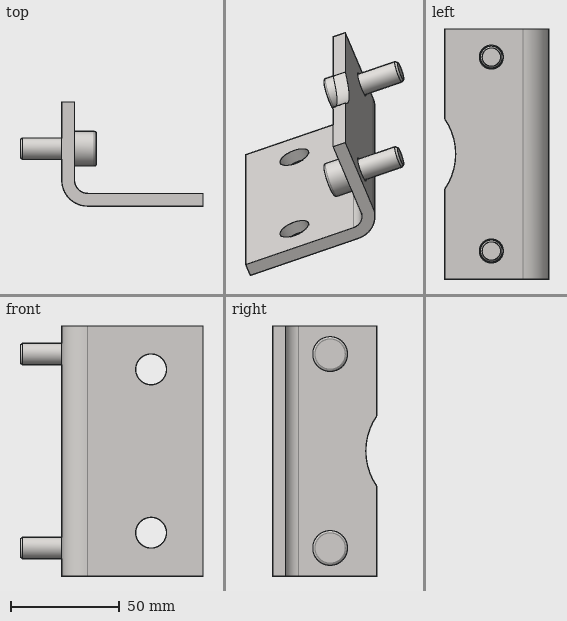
import cadquery as cq

height = 115.0
thickness = 6.0
wide_leg = 65.0
short_leg = 48.0
inner_bend_radius = 6.0
outer_bend_radius = inner_bend_radius + thickness

mount_hole_diameter = 14.0
mount_hole_x = 41.0
mount_hole_spacing = 75.0

notch_chord = 32.4
notch_depth = 5.1

bolt_diameter = 10.0
bolt_hole_diameter = 11.0
bolt_length = 25.0
bolt_y = 26.5
bolt_spacing = 89.0
head_diameter = 16.0
head_length = 10.0
head_edge_radius = 1.0
tip_chamfer_length = 1.0
tip_chamfer_depth = 0.8


def pair_heights(spacing):
    """Z positions of two features placed evenly about mid-height."""
    return [-spacing / 2, spacing / 2]


def x_cylinder(diameter, length, start_x, y, z):
    """Cylinder running along +X from start_x."""
    return (
        cq.Workplane("YZ", origin=(start_x, y, z))
        .circle(diameter / 2)
        .extrude(length)
    )


def make_bent_plate():
    """L-shaped plate with a rounded bend."""
    plate = (
        cq.Workplane("XY", origin=(0, 0, -height / 2))
        .polyline([
            (0, 0),
            (wide_leg, 0),
            (wide_leg, thickness),
            (thickness, thickness),
            (thickness, short_leg),
            (0, short_leg),
        ])
        .close()
        .extrude(height)
    )
    outer_corner = cq.selectors.NearestToPointSelector((0, 0, 0))
    inner_corner = cq.selectors.NearestToPointSelector((thickness, thickness, 0))
    plate = plate.edges("|Z").edges(outer_corner).fillet(outer_bend_radius)
    return plate.edges("|Z").edges(inner_corner).fillet(inner_bend_radius)


def make_bracket():
    """Bent plate with mounting holes, bolt holes and edge notch."""
    bracket = make_bent_plate()

    for z in pair_heights(mount_hole_spacing):
        mount_hole = (
            cq.Workplane("XZ", origin=(mount_hole_x, thickness, z))
            .circle(mount_hole_diameter / 2)
            .extrude(thickness)
        )
        bracket = bracket.cut(mount_hole)

    for z in pair_heights(bolt_spacing):
        bracket = bracket.cut(x_cylinder(bolt_hole_diameter, thickness, 0, bolt_y, z))

    notch = (
        cq.Workplane("YZ")
        .moveTo(short_leg, -notch_chord / 2)
        .threePointArc((short_leg - notch_depth, 0), (short_leg, notch_chord / 2))
        .close()
        .extrude(thickness)
    )
    return bracket.cut(notch)


def make_bolt(z):
    """Cap-head bolt seated on the inner face of the short leg, pointing to -X."""
    tip_x = thickness - bolt_length
    head_end_x = thickness + head_length
    bolt_radius = bolt_diameter / 2
    head_radius = head_diameter / 2
    half_profile = (
        cq.Workplane("XY")
        .moveTo(tip_x, 0)
        .lineTo(tip_x, bolt_radius - tip_chamfer_depth)
        .lineTo(tip_x + tip_chamfer_length, bolt_radius)
        .lineTo(thickness, bolt_radius)
        .lineTo(thickness, head_radius)
        .lineTo(head_end_x - head_edge_radius, head_radius)
        .radiusArc((head_end_x, head_radius - head_edge_radius), head_edge_radius)
        .lineTo(head_end_x, 0)
        .close()
    )
    bolt = half_profile.revolve(360, (0, 0, 0), (1, 0, 0))
    return bolt.translate((0, bolt_y, z))


bracket = make_bracket()
bolts = [make_bolt(z) for z in pair_heights(bolt_spacing)]

result = cq.Compound.makeCompound([bracket.val(), *[bolt.val() for bolt in bolts]])